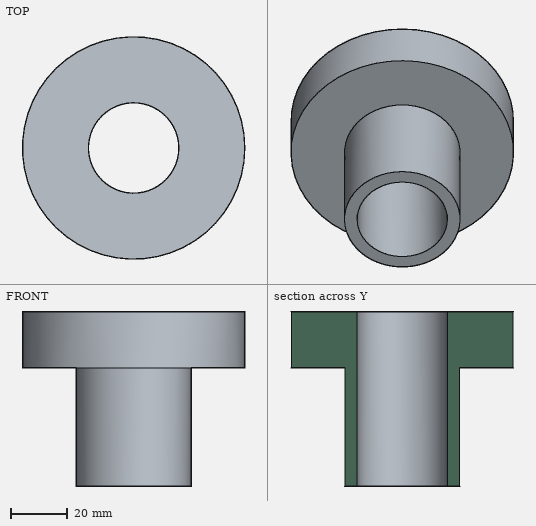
import cadquery as cq

flange_diameter = 79.0
flange_thickness = 20.0
shank_diameter = 41.0
bore_diameter = 32.0
total_height = 62.0
shank_length = total_height - flange_thickness

shank = cq.Workplane("XY").circle(shank_diameter / 2).extrude(shank_length)

body = shank.faces(">Z").workplane().circle(flange_diameter / 2).extrude(flange_thickness)

result = body.faces(">Z").workplane().circle(bore_diameter / 2).cutThruAll()